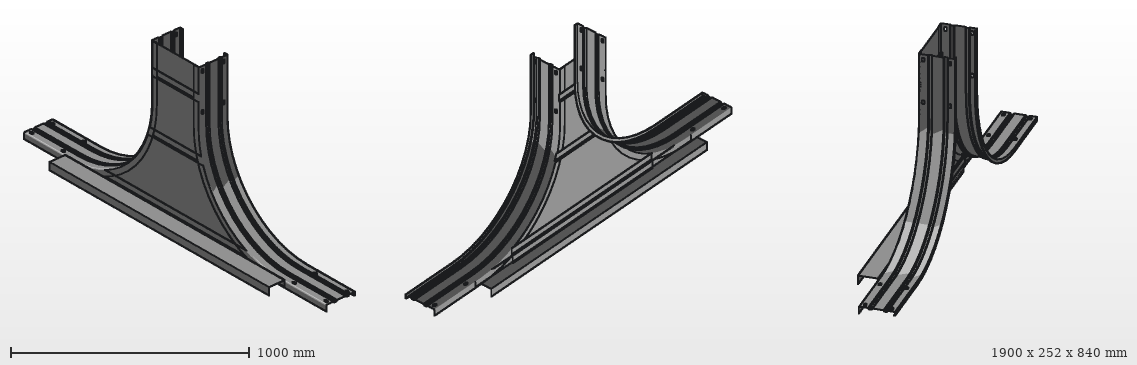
import cadquery as cq
import math


total_length = 1900.0
straight_length = 300.0
bend_radius = 500.0
sheet = 2.0
half_length = total_length / 2
channel_half_width = half_length - straight_length - bend_radius
top_z = straight_length + bend_radius

rail_depth = 162.0
flange_width = 35.0
lip_width = 19.0
lip_return = 5.0
fold_radius = 5.0
rail_groove_centres = (51.0, 120.0)
rail_groove_width = 19.0
rail_groove_floor = 10.0
rail_groove_depth = 5.0

slot_length = 19.0
slot_width = 11.0
slot_rows = (20.0, 139.0)
slot_distances = (25.0, 225.0)
slot_cut = 3 * sheet

plate_bottom_z = -40.0
plate_foot_half_width = 446.0
plate_edge_gap = fold_radius
plate_groove_centres = (19.0, 352.0, 648.0)
plate_groove_width = 40.0
plate_groove_floor = 30.0
plate_groove_depth = 5.0

cover_length = 1380.0
cover_width = 90.0
cover_top_z = 5.0
cover_rear_leg = 35.0
cover_front_lip = 42.0


def inner_skin(path):
    """The points of `path` moved one sheet thickness to its right, mitred at the folds."""
    headings = [math.atan2(z1 - z0, y1 - y0) for (y0, z0), (y1, z1) in zip(path, path[1:])]
    arriving = [headings[0]] + headings
    leaving = headings + [headings[-1]]
    inner = []
    for (y, z), heading_in, heading_out in zip(path, arriving, leaving):
        normal = (heading_in + heading_out) / 2 - math.pi / 2
        reach = sheet / math.cos((heading_out - heading_in) / 2)
        inner.append((y + reach * math.cos(normal), z + reach * math.sin(normal)))
    return inner


def folded_section(path, rounded_folds=()):
    """YZ face of a folded sheet whose outer skin follows `path`, with the metal on its right.
    The folds at the listed path points are rounded, the others are sharp."""
    inner = inner_skin(path)
    outline = [cq.Vector(0, y, z) for y, z in path + inner[::-1]]
    section = cq.Face.makeFromWires(cq.Wire.makePolygon(outline, close=True))
    for points, radius in ((path, fold_radius), (inner, fold_radius - sheet)):
        for fold in rounded_folds:
            corner = cq.Vector(0, *points[fold])
            vertex = min(section.Vertices(), key=lambda v: (v.Center() - corner).Length)
            section = section.fillet2D(radius, [vertex])
    return section


def extrude_along_x(section, start_x, length):
    """Solid made from a YZ section moved to `start_x` and extruded towards +X."""
    placed = section.translate(cq.Vector(start_x, 0, 0))
    return cq.Workplane(cq.Solid.extrudeLinear(placed, cq.Vector(length, 0, 0)))


def groove(centre, width, floor, depth):
    """Section of a pressed groove as (position, depth) points in rising order."""
    return [
        (centre - width / 2, 0),
        (centre - floor / 2, depth),
        (centre + floor / 2, depth),
        (centre + width / 2, 0),
    ]


def rail_section():
    """Flange, grooved web and returned lip of a rail; the channel side faces -Z."""
    path = [(0, -flange_width), (0, 0)]
    for centre in rail_groove_centres:
        points = groove(centre, rail_groove_width, rail_groove_floor, rail_groove_depth)
        path += [(y, -depth) for y, depth in points]
    path += [
        (rail_depth, 0),
        (rail_depth, -lip_width),
        (rail_depth - lip_return, -lip_width),
    ]
    return folded_section(path, rounded_folds=[1])


def cut_slots(rail):
    """Slots through the web of the left rail, in its arm and in its neck."""
    arm_slots = (
        cq.Workplane("XY")
        .pushPoints([(d - half_length, y) for d in slot_distances for y in slot_rows])
        .slot2D(slot_length, slot_width)
        .extrude(slot_cut, both=True)
    )
    neck_slots = (
        cq.Workplane("YZ", origin=(-channel_half_width, 0, 0))
        .pushPoints([(y, top_z - d) for d in slot_distances for y in slot_rows])
        .slot2D(slot_length, slot_width, angle=90)
        .extrude(slot_cut, both=True)
    )
    return rail.cut(arm_slots).cut(neck_slots)


def left_rail():
    """Rail that runs along the left arm, round the quarter bend and up the neck."""
    section = rail_section()
    arm = extrude_along_x(section, -half_length, straight_length)

    bend_start_x = straight_length - half_length
    bend = cq.Solid.revolve(
        section.translate(cq.Vector(bend_start_x, 0, 0)),
        90,
        cq.Vector(bend_start_x, 0, bend_radius),
        cq.Vector(bend_start_x, -19, bend_radius),
    )

    upright = section.rotate(cq.Vector(0, 0, 0), cq.Vector(0, 1, 0), -90)
    neck = cq.Solid.extrudeLinear(
        upright.translate(cq.Vector(-channel_half_width, 0, bend_radius)),
        cq.Vector(0, 0, straight_length),
    )
    return cut_slots(arm.union(cq.Workplane(bend)).union(cq.Workplane(neck)))


def side_rails():
    """The left rail and its mirror image."""
    rails = []
    for mirrored in (False, True):
        rail = left_rail()
        if mirrored:
            rail = rail.mirror("YZ")
        rails.append(rail)
    return rails


def plate_outline():
    """Prism with the front outline of the plate: a straight foot, concave flanks and a neck."""
    flank_radius = bend_radius + plate_edge_gap
    flank_centre_x = channel_half_width + bend_radius
    neck_half_width = channel_half_width - plate_edge_gap

    foot_angle = math.acos((flank_centre_x - plate_foot_half_width) / flank_radius)
    middle_angle = foot_angle / 2
    flank_foot_z = bend_radius - flank_radius * math.sin(foot_angle)
    flank_middle = (
        flank_centre_x - flank_radius * math.cos(middle_angle),
        bend_radius - flank_radius * math.sin(middle_angle),
    )
    right_half = (
        cq.Workplane("XZ", origin=(0, rail_depth, 0))
        .moveTo(0, plate_bottom_z)
        .lineTo(plate_foot_half_width, plate_bottom_z)
        .lineTo(plate_foot_half_width, flank_foot_z)
        .threePointArc(flank_middle, (neck_half_width, bend_radius))
        .lineTo(neck_half_width, top_z)
        .lineTo(0, top_z)
        .close()
        .extrude(rail_depth)
    )
    return right_half.union(right_half.mirror("YZ"))


def back_plate():
    """Sheet with cross grooves pressed towards +Y, trimmed to the plate outline."""
    front_y = sheet
    path = [(front_y, plate_bottom_z)]
    for centre in plate_groove_centres:
        points = groove(centre, plate_groove_width, plate_groove_floor, plate_groove_depth)
        path += [(front_y + depth, z) for z, depth in points]
    path.append((front_y, top_z))
    grooved_sheet = extrude_along_x(folded_section(path), -half_length, total_length)
    return grooved_sheet.intersect(plate_outline()).clean()


def cover_strip():
    """Flat strip with a front lip and a rear leg that rests against the rail flanges."""
    path = [
        (-cover_width, cover_top_z - cover_front_lip),
        (-cover_width, cover_top_z),
        (0, cover_top_z),
        (0, cover_top_z - cover_rear_leg),
    ]
    return extrude_along_x(folded_section(path), -cover_length / 2, cover_length)


rails = side_rails()
plate = back_plate()
cover = cover_strip()
result = cq.Compound.makeCompound([*[rail.val() for rail in rails], plate.val(), cover.val()])